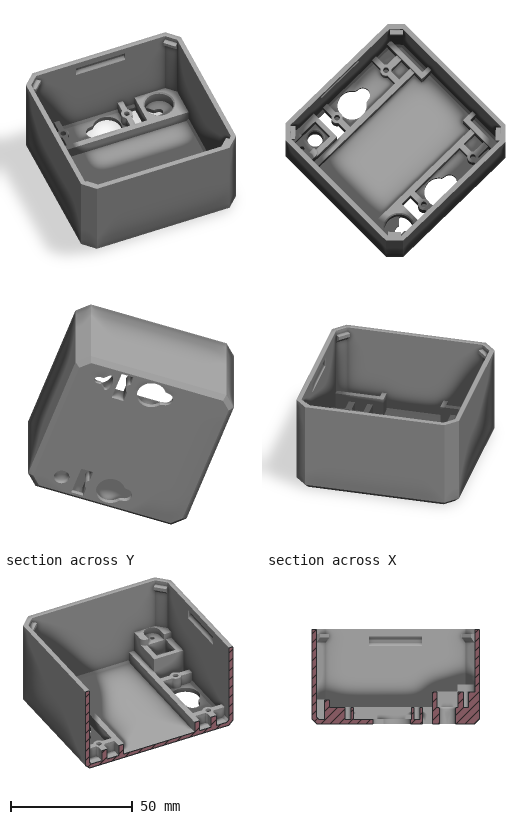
import cadquery as cq
import math

side = 69.0
height = 39.0
wall = 2.0
floor = 2.0
corner_cut = 5.0
base_chamfer = 2.0
inner_chamfer = 1.0

inner_half = side / 2 - wall
inner_corner_cut = corner_cut - wall * (2 - math.sqrt(2))

rail_top = 7.0
rail_inner = 16.5
rail_outer = 18.9
boss_x = 25.45
boss_ys = (8.7, -19.6)
boss_radius = 2.35
boss_hole_radius = 1.2
rib_width = 2.35
spine_width = 2.7

corner_wall_top = 10.0
corner_wall_inner = 12.1
corner_wall_back = -27.1
corner_wall_long_thickness = 2.2
corner_wall_short_thickness = 1.9

block_front = 15.05
left_bore_y = 23.05
left_bore_radius = 6.0
left_bore_chamfer = 0.55
left_slot_radius = 1.65
left_wedge_fillet = 0.8

tower_top = 13.3
tower_raised_top = 16.15
raised_front = 25.45
raised_corner_radius = 2.0
well_width = 8.7
well_front = 17.0
well_floor = 7.0
well_hole_y = 21.3
well_hole_radius = 3.2
well_hole_chamfer = 0.55
seat_y = 28.85
seat_radius = 3.6
seat_hole_radius = 1.0

window_outer = 31.45
keyhole_radius = 6.0
keyhole_slot_radius = 3.05
keyhole_slot_y = -6.15
keyhole_throat_half_width = 4.6

ledge_drop = 2.0
ledge_depth = 2.1
ledge_face = 1.5

groove_length = 21.8
groove_drop = 3.0
groove_height = 4.0
groove_depth = 1.3


def box(x0, x1, y0, y1, z0, z1):
    """Box between two opposite corners."""
    return cq.Workplane("XY").box(x1 - x0, y1 - y0, z1 - z0, centered=False).translate((x0, y0, z0))


def rod(x, y, radius, z0, z1):
    """Upright cylinder."""
    return cq.Workplane("XY", origin=(x, y, z0)).circle(radius).extrude(z1 - z0)


def both_sides(shape):
    """The shape together with its mirror image across the YZ plane."""
    return shape.union(shape.mirror("YZ"))


def octagonal_block(width, cut, bottom_chamfer, z0):
    """Square block with cut vertical corners and a chamfered bottom edge."""
    block = cq.Workplane("XY", origin=(0, 0, z0)).rect(width, width).extrude(height - z0)
    return block.edges("|Z").chamfer(cut).faces("<Z").edges().chamfer(bottom_chamfer)


def rails_and_ribs():
    """Right-hand rail with its two cross ribs, bosses and spine."""
    lower_boss_y = boss_ys[1]
    ribs = box(rail_inner, rail_outer, corner_wall_back, inner_half, floor, rail_top)
    for y in boss_ys:
        rib = box(rail_outer, inner_half, y - rib_width / 2, y + rib_width / 2, floor, rail_top)
        ribs = ribs.union(rib).union(rod(boss_x, y, boss_radius, floor, rail_top))
    spine_left = boss_x - spine_width / 2
    spine = box(spine_left, spine_left + spine_width, corner_wall_back, lower_boss_y, floor, rail_top)
    return ribs.union(spine)


def corner_wall():
    """Right-hand L-shaped wall enclosing a pocket in the front corner."""
    outline = box(corner_wall_inner, inner_half, -inner_half, corner_wall_back, floor, corner_wall_top)
    pocket = box(
        corner_wall_inner + corner_wall_short_thickness, inner_half,
        -inner_half, corner_wall_back - corner_wall_long_thickness,
        floor, corner_wall_top,
    )
    return outline.cut(pocket)


def rear_tower():
    """Two-level block in the rear right corner, with a square well and an open round seat."""
    tower = box(rail_outer, inner_half, block_front, inner_half, floor, tower_top)
    raised = box(rail_outer, inner_half, raised_front, inner_half, tower_top, tower_raised_top)
    raised = raised.edges("|Z and <X and <Y").fillet(raised_corner_radius)
    seat = rod(boss_x, seat_y, seat_radius, tower_top, tower_raised_top).union(
        box(boss_x - seat_radius, boss_x + seat_radius, raised_front, seat_y, tower_top, tower_raised_top)
    )
    well = box(
        boss_x - well_width / 2, boss_x + well_width / 2,
        well_front, raised_front, well_floor, tower_top,
    )
    return tower.cut(well).union(raised.cut(seat))


def corner_ledges():
    """Ledge across each inner corner facet, level on top and sloping back below."""
    facet = inner_corner_cut * math.sqrt(2)
    facet_distance = (2 * inner_half - inner_corner_cut) / math.sqrt(2)
    top = height - ledge_drop
    back = facet_distance + wall / 2
    front = facet_distance - ledge_depth
    ledge = (
        cq.Workplane("XZ")
        .moveTo(back, top)
        .lineTo(front, top)
        .lineTo(front, top - ledge_face)
        .lineTo(facet_distance, top - ledge_face - ledge_depth)
        .lineTo(back, top - ledge_face - ledge_depth)
        .close()
        .extrude(facet / 2, both=True)
    )
    ledges = ledge.rotate((0, 0, 0), (0, 0, 1), 45)
    for turn in (135, 225, 315):
        ledges = ledges.union(ledge.rotate((0, 0, 0), (0, 0, 1), turn))
    return ledges


def floor_window():
    """Opening through the right-hand floor between the rear block and the upper rib."""
    boss_y = boss_ys[0]
    window = box(rail_outer, window_outer, boss_y + rib_width / 2, block_front, 0, floor)
    return window.cut(rod(boss_x, boss_y, boss_radius, 0, floor))


def floor_keyhole():
    """Large keyhole through the right-hand floor, narrow end to the front."""
    throat = (
        cq.Workplane("XY", origin=(boss_x, 0, 0))
        .moveTo(-keyhole_throat_half_width, 0)
        .lineTo(-keyhole_slot_radius, keyhole_slot_y)
        .lineTo(keyhole_slot_radius, keyhole_slot_y)
        .lineTo(keyhole_throat_half_width, 0)
        .close()
        .extrude(floor)
    )
    slot_end = rod(boss_x, keyhole_slot_y, keyhole_slot_radius, 0, floor)
    return rod(boss_x, 0, keyhole_radius, 0, floor).union(throat).union(slot_end)


def chamfered_bore(x, y, radius, chamfer, z0, z1):
    """Upright bore with a 45 degree countersink at its top."""
    cone = (
        cq.Workplane("XY", origin=(x, y, z1 - chamfer))
        .circle(radius)
        .workplane(offset=chamfer)
        .circle(radius + chamfer)
        .loft()
    )
    return rod(x, y, radius, z0, z1).union(cone)


def left_keyhole():
    """Bore in the rear left block over a keyhole with a quarter-circle wide end."""
    bore = chamfered_bore(-boss_x, left_bore_y, left_bore_radius, left_bore_chamfer, floor, rail_top)
    wedge_reach = left_bore_radius / math.sqrt(2)
    wedge = (
        cq.Workplane("XY", origin=(-boss_x, left_bore_y, 0))
        .lineTo(-wedge_reach, -wedge_reach)
        .threePointArc((0, -left_bore_radius), (wedge_reach, -wedge_reach))
        .close()
        .extrude(floor)
        .edges("|Z and (<X or >X)")
        .fillet(left_wedge_fillet)
    )
    slot = rod(-boss_x, left_bore_y, left_slot_radius, 0, floor).union(
        box(
            -boss_x - left_slot_radius, -boss_x + left_slot_radius,
            left_bore_y - left_slot_radius, left_bore_y, 0, floor,
        )
    )
    return bore.union(wedge).union(slot)


def side_groove():
    """Snap groove with sloping flanks in the right-hand wall."""
    top = height - groove_drop
    bottom = top - groove_height
    return (
        cq.Workplane("XZ")
        .moveTo(inner_half, bottom)
        .lineTo(inner_half + groove_depth, bottom + groove_depth)
        .lineTo(inner_half + groove_depth, top - groove_depth)
        .lineTo(inner_half, top)
        .close()
        .extrude(groove_length / 2, both=True)
    )


body = octagonal_block(side, corner_cut, base_chamfer, 0)
cavity = octagonal_block(2 * inner_half, inner_corner_cut, inner_chamfer, floor)
shell = body.cut(cavity)

fittings = both_sides(rails_and_ribs().union(corner_wall()))
fittings = fittings.union(box(-inner_half, -rail_outer, block_front, inner_half, floor, rail_top))
fittings = fittings.union(rear_tower())
result = shell.union(fittings.intersect(cavity)).union(corner_ledges())

for boss_y in boss_ys:
    result = result.cut(both_sides(rod(boss_x, boss_y, boss_hole_radius, floor, rail_top)))
result = result.cut(both_sides(floor_window()))
result = result.cut(both_sides(floor_keyhole()))
result = result.cut(both_sides(side_groove()))
result = result.cut(left_keyhole())
result = result.cut(chamfered_bore(boss_x, well_hole_y, well_hole_radius, well_hole_chamfer, 0, well_floor))
result = result.cut(rod(boss_x, seat_y, seat_hole_radius, well_floor, tower_top))